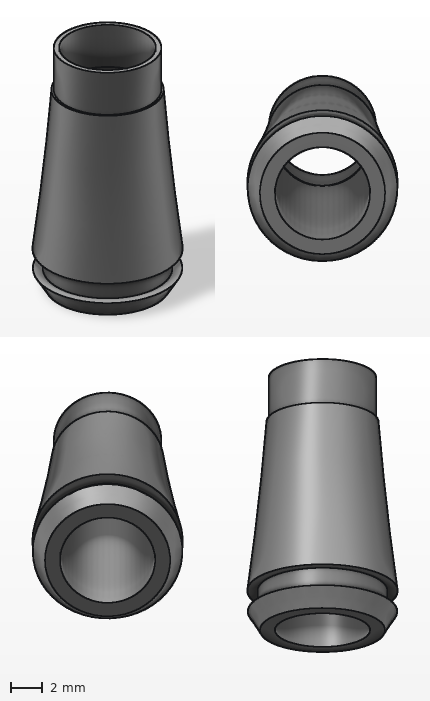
import cadquery as cq

total_height = 17.0
flare_height = 1.25
groove_height = 1.4
neck_height = 3.0
body_bottom = flare_height + groove_height
body_top = total_height - neck_height

flare_bottom_diameter = 7.9
flare_top_diameter = 9.45
groove_diameter = 8.2
body_bottom_diameter = 9.5
body_top_diameter = 7.1
neck_diameter = 6.8

body_side_bow = 0.08

neck_bore_diameter = 6.1
bore_diameter = 6.0


def make_outside():
    """Revolve the outer profile: flare, groove, hollow-sided tapered body and neck."""
    body_mid_radius = (body_bottom_diameter + body_top_diameter) / 4 - body_side_bow
    body_mid_height = (body_bottom + body_top) / 2
    profile = (
        cq.Workplane("XZ")
        .moveTo(0, 0)
        .lineTo(flare_bottom_diameter / 2, 0)
        .lineTo(flare_top_diameter / 2, flare_height)
        .lineTo(groove_diameter / 2, flare_height)
        .lineTo(groove_diameter / 2, body_bottom)
        .lineTo(body_bottom_diameter / 2, body_bottom)
        .threePointArc((body_mid_radius, body_mid_height), (body_top_diameter / 2, body_top))
        .lineTo(neck_diameter / 2, body_top)
        .lineTo(neck_diameter / 2, total_height)
        .lineTo(0, total_height)
        .close()
    )
    return profile.revolve(360, (0, 0, 0), (0, 1, 0))


def make_bore():
    """Build the stepped through bore, with its small ledge at the foot of the neck."""
    lower_bore = cq.Workplane("XY").circle(bore_diameter / 2).extrude(total_height)
    neck_bore = (
        cq.Workplane("XY")
        .workplane(offset=body_top)
        .circle(neck_bore_diameter / 2)
        .extrude(neck_height)
    )
    return lower_bore.union(neck_bore)


result = make_outside().cut(make_bore())